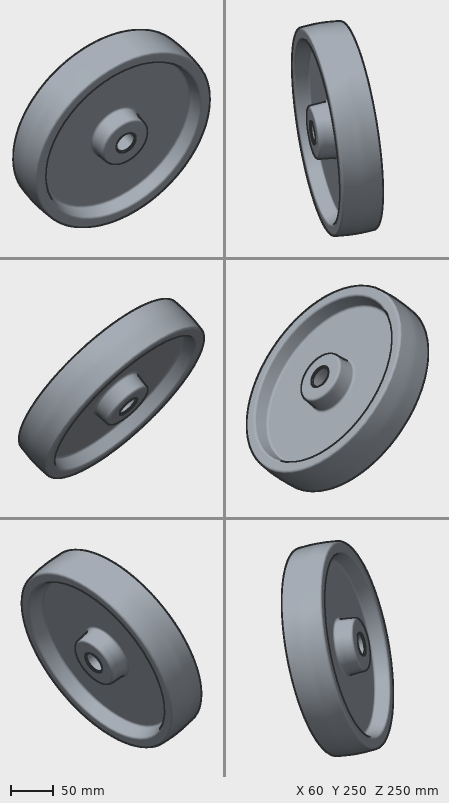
import cadquery as cq
import math


tread_radius = 125.0
rim_width = 50.0
crown_radius = 200.0
rim_mouth_radius = 109.5
rim_draft = 15.0
rim_fillet = 3.0

web_thickness = 15.0
hub_length = 60.0
hub_face_radius = 31.5
hub_draft = 5.0
hub_fillet = 3.0

bore_radius = 12.5
bore_chamfer = 1.5

rim_half = rim_width / 2
web_half = web_thickness / 2
hub_half = hub_length / 2


def crown(x):
    """Tread radius at distance x from the middle plane."""
    return tread_radius - crown_radius + math.sqrt(crown_radius**2 - x**2)


def taper(length, draft):
    """Radial change of a drafted wall over an axial length."""
    return length * math.tan(math.radians(draft))


rim_root_radius = rim_mouth_radius - taper(rim_half - web_half, rim_draft)
hub_root_radius = hub_face_radius + taper(hub_half - web_half, hub_draft)
tread_edge_radius = crown(rim_half)


def sharp_half():
    """Half of the wheel on the +X side, with sharp edges."""
    return (
        cq.Workplane("XZ")
        .moveTo(0, bore_radius)
        .lineTo(hub_half, bore_radius)
        .lineTo(hub_half, hub_face_radius)
        .lineTo(web_half, hub_root_radius)
        .lineTo(web_half, rim_root_radius)
        .lineTo(rim_half, rim_mouth_radius)
        .lineTo(rim_half, tread_edge_radius)
        .threePointArc((rim_half / 2, crown(rim_half / 2)), (0, tread_radius))
        .close()
        .revolve(360, (0, 0, 0), (1, 0, 0))
    )


def ring_edge(body, x, radius):
    """The circular edge of the given radius at axial position x."""
    tolerance = 0.001

    def matches(edge):
        if edge.geomType() != "CIRCLE":
            return False
        at_position = abs(edge.Center().x - x) < tolerance
        return at_position and abs(edge.radius() - radius) < tolerance

    return body.edges().filter(matches)


def finished_half():
    """Half wheel with its edges rounded and its bore mouth chamfered."""
    half = sharp_half()
    rounded_edges = [
        (rim_half, tread_edge_radius, rim_fillet),
        (rim_half, rim_mouth_radius, rim_fillet),
        (web_half, rim_root_radius, rim_fillet),
        (web_half, hub_root_radius, hub_fillet),
        (hub_half, hub_face_radius, hub_fillet),
    ]
    for x, radius, fillet in rounded_edges:
        half = ring_edge(half, x, radius).fillet(fillet)
    return ring_edge(half, hub_half, bore_radius).chamfer(bore_chamfer)


half_wheel = finished_half()
result = half_wheel.union(half_wheel.mirror("YZ"), clean=False)